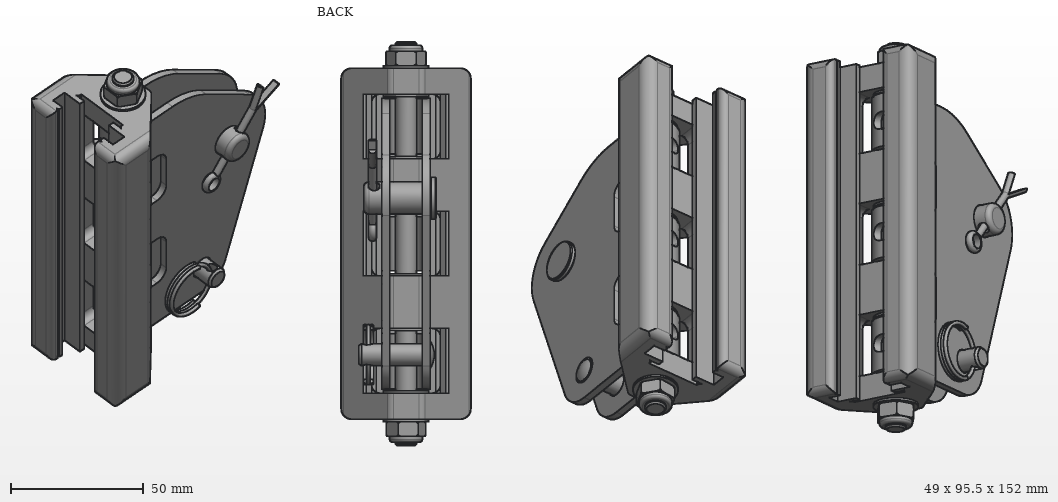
import cadquery as cq
import math


total_height = 152.0
housing_length = 132.2
tooth_pitch = 44.1
outer_tooth_length = 21.0
middle_tooth_length = 20.5
slot_length = 24.3
tooth_positions = [-tooth_pitch, 0.0, tooth_pitch]

housing_width = 49.0
housing_back = -27.0
lug_top = 9.0
lug_half_width = 6.1
channel_floor = -11.0
lip_top = -12.6
lip_bottom = -14.9
lip_half_gap = 7.9
upper_channel_half_width = 11.2
undercut_half_width = 12.3
undercut_start = -11.9
main_channel_half_width = 16.3
main_channel_bottom = -20.8
mouth_half_width = 11.2
lip_groove_y = -22.8
lip_groove_depth = 0.9
lip_groove_half_height = 0.5
side_edge_radius = 5.0
mouth_edge_radius = 2.6
shoulder_radius = 2.6
lug_edge_radius = 3.0
end_side_radius = 4.1
end_back_radius = 3.2
cross_slot_floor = -1.0
pocket_half_width = 12.9
pocket_corner_radius = 3.0
pocket_mouth_chamfer = 2.0

bolt_diameter = 8.0
bolt_tip_diameter = 6.7
bolt_tip_chamfer = 0.8
washer_diameter = 17.0
washer_thickness = 0.9
nut_flats = 13.0
nut_hex_height = 5.5
nut_corner_chamfer = 0.6
nut_collar_diameter = 12.5
nut_collar_height = 2.3
nut_collar_radius = 1.2
lower_nut_turn = 7.0

plate_gap = 12.2
plate_thickness = 3.0
bend_inner_radius = plate_gap / 2
bend_outer_radius = bend_inner_radius + plate_thickness
toggle_height = 109.5
clevis_y, clevis_z = 45.6, 17.2
clevis_corner_radius = 19.9
retainer_y, retainer_z = 32.5, -41.8
retainer_corner_radius = toggle_height / 2 + retainer_z
shoulder_y = 17.2
shoulder_corner_radius = 30.4
relief_depth = 13.8
relief_corner_radius = 4.9
clevis_hole_diameter = 12.5
retainer_hole_diameter = 9.0
drain_hole_length = 6.8
drain_hole_half_angle = 31.0

clevis_diameter = 12.2
clevis_head_diameter = 15.8
clevis_head_thickness = 2.3
clevis_head_chamfer = 0.5
clevis_tip_x = 16.0
clevis_tip_radius = 2.0
cotter_hole_diameter = 4.4
cotter_hole_x = 12.0
cotter_x = 12.6
cotter_diameter = 3.0
cotter_angle = 48.5
cotter_offset = 0.8
cotter_bend = 16.0
cotter_eye_distance = 16.7
cotter_eye_radius = 4.3
long_leg_length = 13.5
long_leg_angle = 25.0
short_leg_length = 10.0
short_leg_angle = 65.0

retainer_diameter = 8.4
retainer_head_diameter = 10.3
retainer_head_height = 1.5
retainer_tip_x = 17.8
retainer_tip_length = 1.0
retainer_tip_inset = 0.8
ring_hole_diameter = 4.0
ring_hole_x = 14.6
ring_wire_diameter = 1.5
ring_wire_radius = 10.6
ring_near_y = 31.9
ring_turn_x = 14.1
ring_turn_pitch = 1.2
side_turn_span = 220.0


def mirrored(points):
    """Closed outline from its +X half, listed from one end to the other."""
    return points + [(-x, y) for x, y in reversed(points)]


def cylinder_z(diameter, z_low, z_high):
    return cq.Workplane("XY").workplane(offset=z_low).circle(diameter / 2).extrude(z_high - z_low)


def cylinder_x(diameter, x_low, x_high, y, z):
    return (
        cq.Workplane("YZ").workplane(offset=x_low).center(y, z).circle(diameter / 2).extrude(x_high - x_low)
    )


def housing_profile():
    """Section of the rail housing, extruded over its full length with its long edges rounded."""
    half_width = housing_width / 2
    shoulder_y_side = lug_top - (half_width - lug_half_width)
    outline = mirrored([
        (lug_half_width, lug_top),
        (half_width, shoulder_y_side),
        (half_width, housing_back),
        (mouth_half_width, housing_back),
        (mouth_half_width, lip_groove_y - lip_groove_half_height),
        (mouth_half_width + lip_groove_depth, lip_groove_y),
        (mouth_half_width, lip_groove_y + lip_groove_half_height),
        (mouth_half_width, main_channel_bottom),
        (main_channel_half_width, main_channel_bottom),
        (main_channel_half_width, lip_bottom),
        (lip_half_gap, lip_bottom),
        (lip_half_gap, lip_top),
        (undercut_half_width, lip_top),
        (upper_channel_half_width, undercut_start),
        (upper_channel_half_width, channel_floor),
    ])
    body = cq.Workplane("XY").polyline(outline).close().extrude(housing_length / 2, both=True)
    rounded_edges = [
        (half_width, housing_back, side_edge_radius),
        (mouth_half_width, housing_back, mouth_edge_radius),
        (half_width, shoulder_y_side, shoulder_radius),
        (lug_half_width, lug_top, lug_edge_radius),
    ]
    for x, y, radius in rounded_edges:
        for side in (-1, 1):
            body = body.edges(cq.selectors.NearestToPointSelector((side * x, y, 0))).fillet(radius)
    return body


def rounded_end_envelope():
    """Block whose sides and back are rounded off at both ends of the housing."""
    depth = lug_top - housing_back
    side_rounding = (
        cq.Workplane("XY")
        .box(housing_width, depth, housing_length)
        .edges("|Y")
        .fillet(end_side_radius)
    )
    back_rounding = (
        cq.Workplane("XY")
        .box(housing_width, depth, housing_length)
        .edges("|X and <Y")
        .fillet(end_back_radius)
    )
    return side_rounding.intersect(back_rounding).translate((0, (lug_top + housing_back) / 2, 0))


def tooth_slot(z):
    """Full-width slot for one tooth, with a round-cornered pocket down to the channel floor."""
    half_width = housing_width / 2
    chamfer_half_width = pocket_half_width + pocket_mouth_chamfer
    cross_outline = mirrored([
        (half_width, lug_top),
        (half_width, cross_slot_floor),
        (chamfer_half_width, cross_slot_floor),
        (pocket_half_width, cross_slot_floor - pocket_mouth_chamfer),
    ])
    cross_slot = cq.Workplane("XY").polyline(cross_outline).close().extrude(slot_length / 2, both=True)
    pocket_height = lug_top - channel_floor
    pocket = (
        cq.Workplane("XY")
        .box(2 * pocket_half_width, pocket_height, slot_length)
        .edges("|Y")
        .fillet(pocket_corner_radius)
        .translate((0, channel_floor + pocket_height / 2, 0))
    )
    return cross_slot.union(pocket).translate((0, 0, z))


def lock_nut(turn):
    """Hexagon nut with a round locking collar, standing on Z = 0."""
    corner_diameter = nut_flats / math.cos(math.radians(30))
    chamfer_height = nut_corner_chamfer * math.tan(math.radians(30))
    turned_blank = cylinder_z(corner_diameter, 0, nut_hex_height)
    turned_blank = turned_blank.faces(">Z").chamfer(nut_corner_chamfer, chamfer_height)
    turned_blank = turned_blank.faces("<Z").chamfer(nut_corner_chamfer, chamfer_height)
    hexagon = (
        cq.Workplane("XY")
        .polygon(6, corner_diameter)
        .extrude(nut_hex_height)
        .rotate((0, 0, 0), (0, 0, 1), turn)
        .intersect(turned_blank)
    )
    collar = (
        cylinder_z(nut_collar_diameter, 0, nut_hex_height + nut_collar_height)
        .faces(">Z")
        .edges()
        .fillet(nut_collar_radius)
    )
    return hexagon.union(collar)


def bolt_end(turn):
    """Washer and lock nut at the +Z end of the housing."""
    washer_top = housing_length / 2 + washer_thickness
    washer = cylinder_z(washer_diameter, housing_length / 2, washer_top)
    return washer.union(lock_nut(turn).translate((0, 0, washer_top)))


def hinge_bolt():
    """Bolt with its end washers and nuts, and the washers at both ends of each slot."""
    bolt = cylinder_z(bolt_diameter, -total_height / 2, total_height / 2)
    tip_inset = (bolt_diameter - bolt_tip_diameter) / 2
    bolt = bolt.faces("<Z or >Z").chamfer(bolt_tip_chamfer, tip_inset)
    bolt = bolt.union(bolt_end(0))
    bolt = bolt.union(bolt_end(-lower_nut_turn).rotate((0, 0, 0), (1, 0, 0), 180))
    for tooth_z in tooth_positions:
        slot_low = tooth_z - slot_length / 2
        slot_high = tooth_z + slot_length / 2
        bolt = bolt.union(cylinder_z(washer_diameter, slot_low, slot_low + washer_thickness))
        bolt = bolt.union(cylinder_z(washer_diameter, slot_high - washer_thickness, slot_high))
    return bolt


def make_carriage():
    """Rail housing with the hinge bolt clamped in it."""
    body = housing_profile().intersect(rounded_end_envelope())
    for z in tooth_positions:
        body = body.cut(tooth_slot(z))
    return body.union(hinge_bolt())


def tangent_points(start, end):
    """Ends of the straight line that touches two (y, z, radius) circles on their outer side."""
    dy = end[0] - start[0]
    dz = end[1] - start[1]
    normal = math.atan2(dz, dy) + math.acos((start[2] - end[2]) / math.hypot(dy, dz))
    return [
        (y + radius * math.cos(normal), z + radius * math.sin(normal))
        for y, z, radius in (start, end)
    ]


def arc_middle(circle, start, end):
    """Middle of the shorter arc of a (y, z, radius) circle between two of its points."""
    y, z, radius = circle
    angle = math.atan2(start[1] + end[1] - 2 * z, start[0] + end[0] - 2 * y)
    return (y + radius * math.cos(angle), z + radius * math.sin(angle))


def cheek_outline():
    """Side shape of the toggle: three round corners joined by straight tangents."""
    half_height = toggle_height / 2
    shoulder = (shoulder_y, half_height - shoulder_corner_radius, shoulder_corner_radius)
    clevis = (clevis_y, clevis_z, clevis_corner_radius)
    retainer = (retainer_y, retainer_z, retainer_corner_radius)
    top_start = (shoulder_y, half_height)
    bottom_end = (retainer_y, -half_height)
    upper_start, upper_end = tangent_points(shoulder, clevis)
    lower_start, lower_end = tangent_points(clevis, retainer)
    return (
        cq.Workplane("YZ")
        .moveTo(-bend_outer_radius, half_height)
        .lineTo(*top_start)
        .threePointArc(arc_middle(shoulder, top_start, upper_start), upper_start)
        .lineTo(*upper_end)
        .threePointArc(arc_middle(clevis, upper_end, lower_start), lower_start)
        .lineTo(*lower_end)
        .threePointArc(arc_middle(retainer, lower_end, bottom_end), bottom_end)
        .lineTo(-bend_outer_radius, -half_height)
        .close()
        .extrude(bend_outer_radius, both=True)
    )


def bent_plate():
    """Plate folded into a U around the hinge axis."""
    reach = clevis_y + clevis_corner_radius
    return (
        cq.Workplane("XY")
        .moveTo(-bend_outer_radius, reach)
        .lineTo(-bend_outer_radius, 0)
        .threePointArc((0, -bend_outer_radius), (bend_outer_radius, 0))
        .lineTo(bend_outer_radius, reach)
        .lineTo(bend_inner_radius, reach)
        .lineTo(bend_inner_radius, 0)
        .threePointArc((0, -bend_inner_radius), (-bend_inner_radius, 0))
        .lineTo(-bend_inner_radius, reach)
        .close()
        .extrude(toggle_height / 2, both=True)
    )


def tooth_relief(side):
    """Round-cornered gap between the middle tooth and one outer tooth."""
    low = middle_tooth_length / 2
    high = toggle_height / 2 - outer_tooth_length
    depth = relief_depth + 2 * bend_outer_radius
    return (
        cq.Workplane("XY")
        .box(2 * bend_outer_radius, depth, high - low)
        .edges("|X and >Y")
        .fillet(relief_corner_radius)
        .translate((0, relief_depth - depth / 2, side * (low + high) / 2))
    )


def drain_hole(z):
    """Hole through the bend of a tooth, with radial side walls as bent from a flat sheet."""
    near = bend_inner_radius / 2
    far = bend_outer_radius + bend_inner_radius / 2
    spread = math.tan(math.radians(drain_hole_half_angle))
    return (
        cq.Workplane("XZ", origin=(0, -near, z))
        .ellipse(near * spread, drain_hole_length / 2)
        .workplane(offset=far - near)
        .ellipse(far * spread, drain_hole_length / 2)
        .loft()
    )


def make_toggle():
    body = bent_plate().intersect(cheek_outline())
    for side in (-1, 1):
        body = body.cut(tooth_relief(side))
    for z in tooth_positions:
        body = body.cut(drain_hole(z))
    reach = bend_outer_radius
    body = body.cut(cylinder_x(clevis_hole_diameter, -reach, reach, clevis_y, clevis_z))
    return body.cut(cylinder_x(retainer_hole_diameter, -reach, reach, retainer_y, retainer_z))


def cotter_leg(length, angle, start):
    """Half-round leg leaving `start` at `angle` above +Y, flat side up."""
    leg = (
        cq.Workplane("XZ")
        .moveTo(-cotter_diameter / 2, 0)
        .lineTo(cotter_diameter / 2, 0)
        .threePointArc((0, -cotter_diameter / 2), (-cotter_diameter / 2, 0))
        .close()
        .extrude(-length)
    )
    return leg.rotate((0, 0, 0), (1, 0, 0), angle).translate((0, start, 0))


def make_cotter():
    """Split cotter lying along +Y through the origin: eye, doubled stem and two spread legs."""
    stem_start = -cotter_eye_distance + cotter_eye_radius - cotter_diameter / 4
    stem = (
        cq.Workplane("XZ", origin=(0, stem_start, 0))
        .circle(cotter_diameter / 2)
        .extrude(-(cotter_bend - stem_start))
    )
    wire_half_width = cotter_diameter / 2
    eye_inner_radius = cotter_eye_radius - wire_half_width
    eye = (
        cq.Workplane("XY", origin=(0, -cotter_eye_distance, 0))
        .moveTo(-wire_half_width, eye_inner_radius)
        .threePointArc((0, cotter_eye_radius), (wire_half_width, eye_inner_radius))
        .close()
        .revolve(360, (0, 0, 0), (1, 0, 0))
    )
    long_leg = cotter_leg(long_leg_length, long_leg_angle - cotter_angle, cotter_bend)
    short_leg = cotter_leg(short_leg_length, cotter_angle - short_leg_angle, cotter_bend)
    short_leg = short_leg.mirror("XY")
    return stem.union(eye).union(long_leg).union(short_leg)


def make_clevis_pin():
    """Headed pin with the split cotter resting in its cross hole."""
    head = (
        cq.Workplane("YZ", origin=(-bend_outer_radius, 0, 0))
        .circle(clevis_head_diameter / 2)
        .extrude(-clevis_head_thickness)
        .edges()
        .chamfer(clevis_head_chamfer)
    )
    shank = cylinder_x(clevis_diameter, -bend_outer_radius, clevis_tip_x, 0, 0)
    shank = shank.faces(">X").edges().fillet(clevis_tip_radius)
    hole = (
        cq.Workplane("XZ", origin=(cotter_hole_x, 0, 0))
        .circle(cotter_hole_diameter / 2)
        .extrude(clevis_diameter, both=True)
    )
    pin = shank.union(head).cut(hole.rotate((0, 0, 0), (1, 0, 0), cotter_angle))
    cotter = make_cotter().translate((cotter_x, 0, cotter_offset))
    pin = pin.union(cotter.rotate((0, 0, 0), (1, 0, 0), cotter_angle))
    return pin.translate((0, clevis_y, clevis_z))


def ring_turn(x, span):
    """Turn of round wire in a plane across X, the middle of its span at the end far from the pin (-Y)."""
    ring_centre = ring_near_y - retainer_y - ring_wire_radius
    turn = (
        cq.Workplane("XY")
        .center(0, -ring_wire_radius)
        .circle(ring_wire_diameter / 2)
        .revolve(span, (0, ring_wire_radius, 0), (1, ring_wire_radius, 0))
    )
    return turn.rotate((0, 0, 0), (1, 0, 0), -span / 2).translate((x, ring_centre, 0))


def make_retainer_pin():
    """Dome-headed pin with the split ring hanging in its cross hole."""
    head_radius = retainer_head_diameter / 2
    dome_radius = (head_radius**2 + retainer_head_height**2) / (2 * retainer_head_height)
    mid_angle = math.asin(head_radius / dome_radius) / 2
    dome_middle = (
        dome_radius * (1 - math.cos(mid_angle)) - retainer_head_height,
        dome_radius * math.sin(mid_angle),
    )
    dome = (
        cq.Workplane("XY")
        .lineTo(0, head_radius)
        .threePointArc(dome_middle, (-retainer_head_height, 0))
        .close()
        .revolve(360, (0, 0, 0), (1, 0, 0))
        .translate((-bend_outer_radius, 0, 0))
    )
    shank = cylinder_x(retainer_diameter, -bend_outer_radius, retainer_tip_x, 0, 0)
    shank = shank.faces(">X").chamfer(retainer_tip_length, retainer_tip_inset)
    hole = (
        cylinder_z(ring_hole_diameter, -retainer_diameter, retainer_diameter)
        .translate((ring_hole_x, 0, 0))
    )
    pin = shank.union(dome).cut(hole)
    pin = pin.union(ring_turn(ring_turn_x, 360))
    for side in (-1, 1):
        pin = pin.union(ring_turn(ring_turn_x + side * ring_turn_pitch, side_turn_span))
    return pin.translate((0, retainer_y, retainer_z))


carriage = make_carriage()
toggle = make_toggle()
clevis_pin = make_clevis_pin()
retainer_pin = make_retainer_pin()

result = cq.Compound.makeCompound([
    carriage.solids().val(),
    toggle.solids().val(),
    clevis_pin.solids().val(),
    retainer_pin.solids().val(),
])